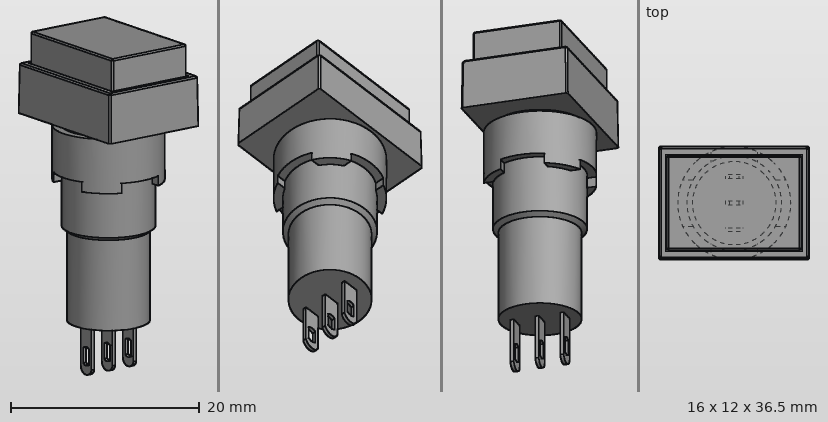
import cadquery as cq

TOTAL_HEIGHT = 36.5
BASE_Z = 5.55
STEP_Z = 15.48
STEP_CHAMFER = 0.45
NUT_BOTTOM_Z = 21.02
NUT_TOP_Z = 26.97
BEZEL_BOTTOM_Z = 27.55
BEZEL_TOP_Z = 33.05

BEZEL_LENGTH = 16.0
BEZEL_WIDTH = 12.0
BEZEL_DRAFT = 0.9
BEZEL_EDGE = 0.2

CAP_LENGTH = 14.25
CAP_WIDTH = 10.0
CAP_EDGE = 0.2
CAP_GAP = 0.1
RECESS_DEPTH = 1.1

BARREL_RADIUS = 5.0
LOWER_RADIUS = 4.4

NUT_RADIUS = 6.0
NOTCH_WIDTH = 4.93
NOTCH_DEPTH = 1.1

TERMINAL_WIDTH = 1.9
TERMINAL_THICKNESS = 0.4
TERMINAL_PITCH = 2.8
TERMINAL_ROWS = (-1, 0, 1)
TERMINAL_TIP_RISE = 0.73
EYE_WIDTH = 1.0
EYE_BOTTOM_Z = 1.02
EYE_TOP_Z = 3.05
EYE_RISE = 0.2


def make_bezel():
    """Tapered rectangular bezel with a shallow recess for the cap."""
    height = BEZEL_TOP_Z - BEZEL_BOTTOM_Z
    block = (
        cq.Workplane("XY", origin=(0, 0, BEZEL_BOTTOM_Z))
        .rect(BEZEL_LENGTH, BEZEL_WIDTH)
        .extrude(height, taper=BEZEL_DRAFT)
    )
    block = block.edges("not(|X or |Y)").chamfer(BEZEL_EDGE)
    block = block.faces(">Z").chamfer(BEZEL_EDGE)
    recess = (
        cq.Workplane("XY", origin=(0, 0, BEZEL_TOP_Z - RECESS_DEPTH))
        .rect(CAP_LENGTH + 2 * CAP_GAP, CAP_WIDTH + 2 * CAP_GAP)
        .extrude(RECESS_DEPTH)
    )
    return block.cut(recess)


def make_barrel():
    """Round stepped barrel below the bezel."""
    half_profile = [
        (0, BASE_Z),
        (LOWER_RADIUS, BASE_Z),
        (LOWER_RADIUS, STEP_Z),
        (BARREL_RADIUS, STEP_Z + STEP_CHAMFER),
        (BARREL_RADIUS, BEZEL_BOTTOM_Z),
        (0, BEZEL_BOTTOM_Z),
    ]
    return cq.Workplane("XZ").polyline(half_profile).close().revolve(360, (0, 0, 0), (0, 1, 0))


def make_terminal(y):
    """Flat solder blade with a rounded tip and an eye, centred at the given y."""
    half_width = TERMINAL_WIDTH / 2
    half_eye = EYE_WIDTH / 2
    blade = (
        cq.Workplane("XZ", origin=(0, y, 0))
        .moveTo(-half_width, BASE_Z)
        .lineTo(-half_width, TERMINAL_TIP_RISE)
        .threePointArc((0, 0), (half_width, TERMINAL_TIP_RISE))
        .lineTo(half_width, BASE_Z)
        .close()
        .extrude(TERMINAL_THICKNESS / 2, both=True)
    )
    eye = (
        cq.Workplane("XZ", origin=(0, y, 0))
        .moveTo(-half_eye, EYE_TOP_Z - EYE_RISE)
        .lineTo(-half_eye, EYE_BOTTOM_Z + EYE_RISE)
        .threePointArc((0, EYE_BOTTOM_Z), (half_eye, EYE_BOTTOM_Z + EYE_RISE))
        .lineTo(half_eye, EYE_TOP_Z - EYE_RISE)
        .threePointArc((0, EYE_TOP_Z), (-half_eye, EYE_TOP_Z - EYE_RISE))
        .close()
        .extrude(TERMINAL_THICKNESS, both=True)
    )
    return blade.cut(eye)


def make_housing():
    """Bezel, barrel and the row of three terminals as one solid."""
    housing = make_bezel().union(make_barrel())
    for row in TERMINAL_ROWS:
        housing = housing.union(make_terminal(row * TERMINAL_PITCH))
    return housing


def make_cap():
    """Button cap standing on the recess floor."""
    floor_z = BEZEL_TOP_Z - RECESS_DEPTH
    return (
        cq.Workplane("XY", origin=(0, 0, floor_z))
        .rect(CAP_LENGTH, CAP_WIDTH)
        .extrude(TOTAL_HEIGHT - floor_z)
        .edges("|Z or >Z")
        .chamfer(CAP_EDGE)
    )


def make_nut():
    """Mounting nut: a ring with four notches in its lower rim."""
    nut = (
        cq.Workplane("XY", origin=(0, 0, NUT_BOTTOM_Z))
        .circle(NUT_RADIUS)
        .circle(BARREL_RADIUS)
        .extrude(NUT_TOP_Z - NUT_BOTTOM_Z)
    )
    across = 2 * NUT_RADIUS
    for angle in (0, 90):
        notch = (
            cq.Workplane("XY", origin=(0, 0, NUT_BOTTOM_Z))
            .rect(across, NOTCH_WIDTH)
            .extrude(NOTCH_DEPTH)
            .rotate((0, 0, 0), (0, 0, 1), angle)
        )
        nut = nut.cut(notch)
    return nut


housing = make_housing()
cap = make_cap()
nut = make_nut()

result = cq.Compound.makeCompound([housing.val(), cap.val(), nut.val()])